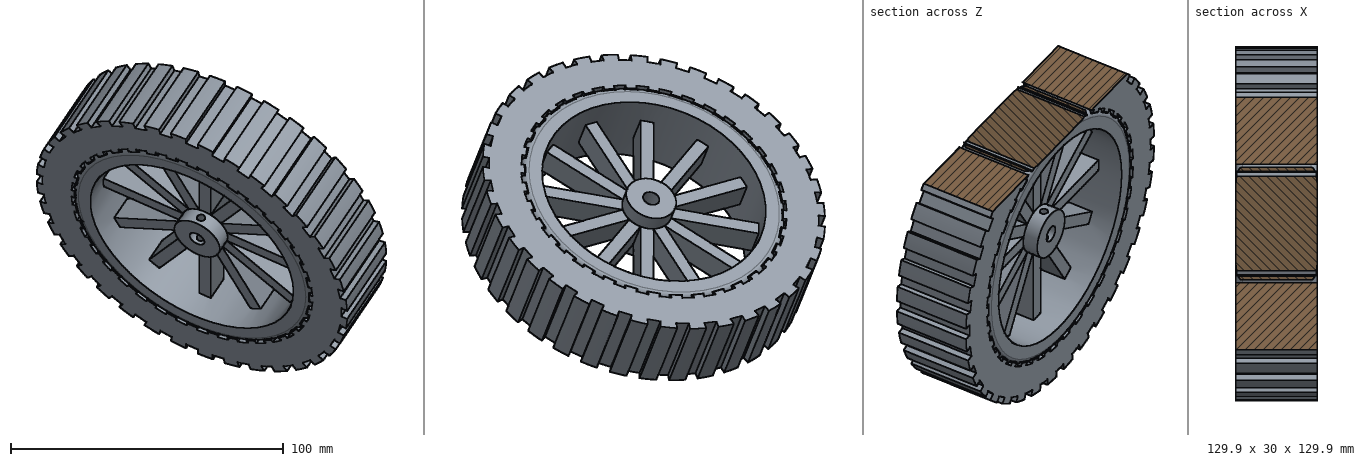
import cadquery as cq
import math

overall_size = 129.9
wheel_width = 30.0
tooth_count = 36

tread_groove_width = 5.0
tread_root_radius = 62.5
tread_radius = math.hypot(overall_size / 2, tread_groove_width / 2)

rim_inner_diameter = 85.0
rim_outer_radius = 50.0
rim_groove_width = 5.0
rim_root_radius = 48.7
rim_edge_fillet = 2.5

fit_gap = 0.4

hub_diameter = 19.0
hub_length = 22.1
axle_hole_diameter = 6.1
spoke_count = 12
spoke_width = 5.0
spoke_depth = 10.0
spoke_inner_radius = (axle_hole_diameter + hub_diameter) / 4
spoke_embed = 1.3
spoke_outer_radius = rim_inner_diameter / 2 + spoke_embed

screw_hole_diameter = 3.0
screw_hole_y = -(hub_length + spoke_depth) / 4

cutter_overrun = 1.3


def disc(radius, width):
    """Cylinder about the Y axis, centred on the origin."""
    return cq.Workplane("XZ").circle(radius).extrude(width / 2, both=True)


def radial_bars(count, inner_radius, outer_radius, bar_width, depth):
    """Equally spaced bars pointing outward from the Y axis, the first along +X."""
    bars = []
    for index in range(count):
        bar = (
            cq.Workplane("XY")
            .box(outer_radius - inner_radius, depth, bar_width)
            .translate(((inner_radius + outer_radius) / 2, 0, 0))
            .rotate((0, 0, 0), (0, 1, 0), index * 360 / count)
        )
        bars.append(bar.val())
    return cq.Workplane(cq.Compound.makeCompound(bars))


def cut_grooves(blank, root_radius, blank_radius, groove_width):
    """Cut the axial grooves that leave a ring of teeth around a disc."""
    beyond_blank = blank_radius + cutter_overrun
    beyond_faces = wheel_width + 2 * cutter_overrun
    grooves = radial_bars(tooth_count, root_radius, beyond_blank, groove_width, beyond_faces)
    return blank.cut(grooves)


def make_tyre():
    tread = cut_grooves(disc(tread_radius, wheel_width), tread_root_radius, tread_radius, tread_groove_width)
    bore_radius = rim_outer_radius + fit_gap
    bore = cut_grooves(
        disc(bore_radius, wheel_width),
        rim_root_radius + fit_gap,
        bore_radius,
        rim_groove_width - 2 * fit_gap,
    )
    return tread.cut(bore)


def make_rim_ring():
    rounded_disc = disc(rim_outer_radius, wheel_width).edges().fillet(rim_edge_fillet)
    toothed_disc = cut_grooves(rounded_disc, rim_root_radius, rim_outer_radius, rim_groove_width)
    return toothed_disc.cut(disc(rim_inner_diameter / 2, wheel_width))


def make_rim():
    ring = make_rim_ring()
    hub = disc(hub_diameter / 2, hub_length)
    spokes = radial_bars(spoke_count, spoke_inner_radius, spoke_outer_radius, spoke_width, spoke_depth)
    wheel_blank = hub.union(spokes).union(ring)
    axle_hole = disc(axle_hole_diameter / 2, hub_length)
    screw_hole = (
        cq.Workplane("XY")
        .center(0, screw_hole_y)
        .circle(screw_hole_diameter / 2)
        .extrude(hub_diameter / 2, both=True)
    )
    return wheel_blank.cut(axle_hole).cut(screw_hole)


tyre = make_tyre()
rim = make_rim()

result = cq.Compound.makeCompound([tyre.solids().val(), rim.solids().val()])